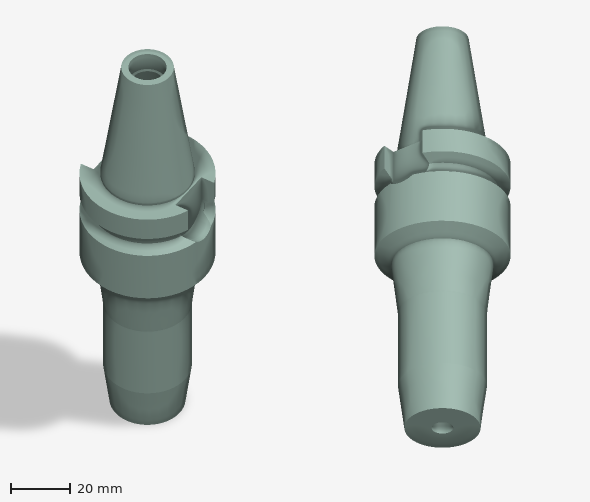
import cadquery as cq

LENGTH = 153.4
NOSE_TOP = 16.5
SHANK_TOP = 45.1
NECK_TOP = 64.5
BODY_BOTTOM = 68.0
FLANGE_FACE = 104.3
COLLAR_HEIGHT = 0.9

BODY_RADIUS = 23.0
GROOVE_RADIUS = 19.3
NECK_RADIUS = 17.3
SHANK_RADIUS = 15.0
NOSE_RADIUS = 12.9
TAPER_BASE_RADIUS = 16.0
TAPER_TIP_RADIUS = 8.9

RIM_HEIGHT = 8.9
GROOVE_WALL_HEIGHT = 2.3
GROOVE_FLOOR_WIDTH = 3.2

SLOT_WIDTH = 16.3
SLOT_DEPTH = 18.3
SLOT_FLOOR_X = 16.4

BORE_RADIUS = 3.7
COUNTERBORE_RADIUS = 6.5
COUNTERBORE_DEPTH = 6.9
THREAD_RADIUS = 5.4
THREAD_DEPTH = 23.0


def revolved_body():
    """Taper, flange, body and nose as one solid of revolution."""
    groove_top = FLANGE_FACE - RIM_HEIGHT
    floor_top = groove_top - GROOVE_WALL_HEIGHT
    floor_bottom = floor_top - GROOVE_FLOOR_WIDTH
    groove_bottom = floor_bottom - GROOVE_WALL_HEIGHT
    profile = [
        (0, 0),
        (NOSE_RADIUS, 0),
        (SHANK_RADIUS, NOSE_TOP),
        (SHANK_RADIUS, SHANK_TOP),
        (NECK_RADIUS, NECK_TOP),
        (BODY_RADIUS, BODY_BOTTOM),
        (BODY_RADIUS, groove_bottom),
        (GROOVE_RADIUS, floor_bottom),
        (GROOVE_RADIUS, floor_top),
        (BODY_RADIUS, groove_top),
        (BODY_RADIUS, FLANGE_FACE),
        (TAPER_BASE_RADIUS, FLANGE_FACE),
        (TAPER_BASE_RADIUS, FLANGE_FACE + COLLAR_HEIGHT),
        (TAPER_TIP_RADIUS, LENGTH),
        (0, LENGTH),
    ]
    return cq.Workplane("XZ").polyline(profile).close().revolve(360, (0, 0, 0), (0, 1, 0))


def drive_slot(side):
    """Round-ended slot cutter; side is +1 or -1 along X."""
    half_width = SLOT_WIDTH / 2
    arc_center = FLANGE_FACE - SLOT_DEPTH + half_width
    return (
        cq.Workplane("YZ", origin=(side * SLOT_FLOOR_X, 0, 0))
        .moveTo(-half_width, FLANGE_FACE)
        .lineTo(-half_width, arc_center)
        .threePointArc((0, FLANGE_FACE - SLOT_DEPTH), (half_width, arc_center))
        .lineTo(half_width, FLANGE_FACE)
        .close()
        .extrude(side * BODY_RADIUS)
    )


def bore_from_tip(radius, depth):
    """Cylinder cutter reaching down from the taper tip."""
    return cq.Workplane("XY").workplane(offset=LENGTH).circle(radius).extrude(-depth)


result = revolved_body()
for slot_side in (-1, 1):
    result = result.cut(drive_slot(slot_side))
for bore_radius, bore_depth in (
    (BORE_RADIUS, LENGTH),
    (THREAD_RADIUS, THREAD_DEPTH),
    (COUNTERBORE_RADIUS, COUNTERBORE_DEPTH),
):
    result = result.cut(bore_from_tip(bore_radius, bore_depth))